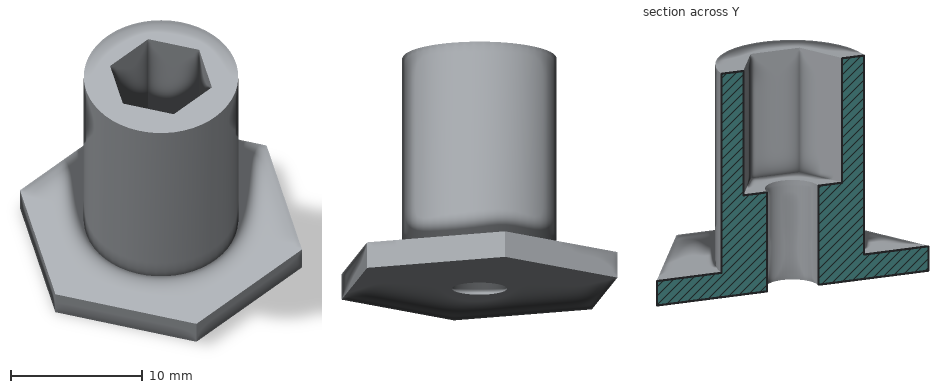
import cadquery as cq
import math

hexagon_sides = 6

flange_across_flats = 19.4
flange_thickness = 2.0

total_height = 18.0
barrel_diameter = 11.8

socket_across_flats = 7.0
socket_depth = 10.0

bore_diameter = 4.2


def hexagon_prism(across_flats, height, base_z):
    """Upright hexagonal prism with two corners on the X axis."""
    across_corners = across_flats / math.cos(math.pi / hexagon_sides)
    return cq.Workplane("XY").workplane(offset=base_z).polygon(hexagon_sides, across_corners).extrude(height)


def cylinder(diameter, height):
    """Upright cylinder standing on the XY plane."""
    return cq.Workplane("XY").circle(diameter / 2).extrude(height)


flange = hexagon_prism(flange_across_flats, flange_thickness, 0)
barrel = cylinder(barrel_diameter, total_height)
socket = hexagon_prism(socket_across_flats, socket_depth, total_height - socket_depth)
bore = cylinder(bore_diameter, total_height)

result = flange.union(barrel).cut(socket).cut(bore)